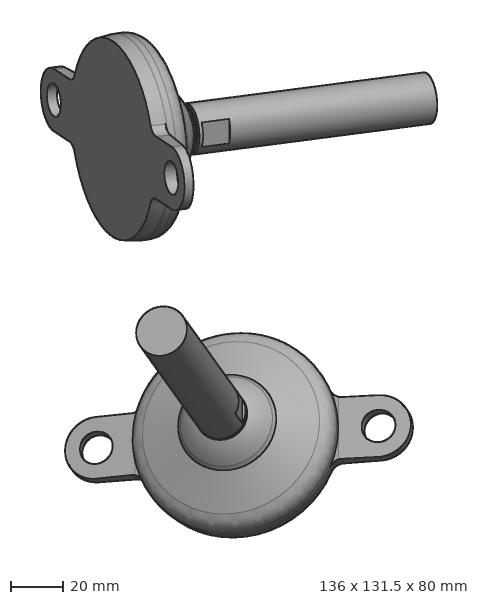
import cadquery as cq
import math

overall_length = 136.0
total_height = 131.5

pad_radius = 40.0
pad_bottom_radius = 39.2
taper_height = 6.3
rim_height = 9.1
cone_bottom_radius = 34.8
cone_bottom_height = 15.8
cone_top_radius = 19.3
cone_top_height = 21.8

dome_radius = 23.7
dome_bottom_height = 23.4
dome_bottom_radius = 18.1
dome_center_height = dome_bottom_height - math.sqrt(dome_radius**2 - dome_bottom_radius**2)
lip_bottom_height = 30.5
lip_height = 0.4
lip_top_height = lip_bottom_height + lip_height

ear_half_width = 12.5
ear_tip_x = overall_length / 2
ear_hole_x = ear_tip_x - ear_half_width
ear_hole_diameter = 13.0
ear_tip_thickness = 3.8
ear_root_thickness = 5.8
ear_root_fillet = 5.0

stem_diameter = 20.0
stem_radius = stem_diameter / 2
neck_radius = 8.2
stem_bottom_height = 32.0
flat_distance = 8.7
flat_bottom_height = 33.5
flat_top_height = 44.9


def dome_radius_at(height):
    """Radius of the dome's circular section at a height."""
    return math.sqrt(dome_radius**2 - (height - dome_center_height) ** 2)


def make_pad():
    """Turned pad and hub, with a convex shoulder and a spherical dome."""
    dome_middle_height = (dome_bottom_height + lip_bottom_height) / 2
    slope = math.hypot(cone_bottom_radius - cone_top_radius, cone_top_height - cone_bottom_height)
    cone_direction = (
        (cone_top_radius - cone_bottom_radius) / slope,
        (cone_top_height - cone_bottom_height) / slope,
    )
    return (
        cq.Workplane("XY")
        .lineTo(pad_bottom_radius, 0)
        .lineTo(pad_radius, taper_height)
        .lineTo(pad_radius, rim_height)
        .spline(
            [(cone_bottom_radius, cone_bottom_height)],
            tangents=[(0, 1), cone_direction],
            includeCurrent=True,
        )
        .lineTo(cone_top_radius, cone_top_height)
        .lineTo(dome_bottom_radius, dome_bottom_height)
        .threePointArc(
            (dome_radius_at(dome_middle_height), dome_middle_height),
            (dome_radius_at(lip_bottom_height), lip_bottom_height),
        )
        .lineTo(stem_radius, lip_bottom_height)
        .lineTo(stem_radius, lip_top_height)
        .lineTo(0, lip_top_height)
        .close()
        .revolve(360, (0, 0, 0), (0, 1, 0))
    )


def make_ears():
    """Tapered disc with two round-ended ears, filleted at the roots and thinner at the tips."""
    bar = cq.Workplane("XZ").slot2D(2 * ear_tip_x, 2 * ear_half_width).extrude(-ear_root_thickness)
    disc_top_radius = pad_bottom_radius + (pad_radius - pad_bottom_radius) * ear_root_thickness / taper_height
    disc = (
        cq.Workplane("XY")
        .lineTo(pad_bottom_radius, 0)
        .lineTo(disc_top_radius, ear_root_thickness)
        .lineTo(0, ear_root_thickness)
        .close()
        .revolve(360, (0, 0, 0), (0, 1, 0))
        .rotate((0, 0, 0), (0, 1, 0), 90)
    )
    middle_radius = (pad_bottom_radius + disc_top_radius) / 2
    corner_x = math.sqrt(middle_radius**2 - ear_half_width**2)
    plate = bar.union(disc)
    for x_side in (-1, 1):
        for z_side in (-1, 1):
            corner = (x_side * corner_x, ear_root_thickness / 2, z_side * ear_half_width)
            plate = plate.edges(cq.selectors.NearestToPointSelector(corner)).fillet(ear_root_fillet)
    side_profile = (
        cq.Workplane("XY")
        .moveTo(-ear_tip_x, 0)
        .lineTo(ear_tip_x, 0)
        .lineTo(ear_tip_x, ear_tip_thickness)
        .lineTo(pad_radius, ear_root_thickness)
        .lineTo(-pad_radius, ear_root_thickness)
        .lineTo(-ear_tip_x, ear_tip_thickness)
        .close()
        .extrude(pad_radius, both=True)
    )
    return plate.intersect(side_profile)


def make_foot():
    """Pad and ears, with a mounting hole through each ear."""
    holes = (
        cq.Workplane("XZ")
        .pushPoints([(-ear_hole_x, 0), (ear_hole_x, 0)])
        .circle(ear_hole_diameter / 2)
        .extrude(-ear_root_thickness)
    )
    return make_pad().union(make_ears()).cut(holes)


def make_stem():
    """Round stem standing on a narrower neck, with two opposite wrench flats."""
    neck = cq.Workplane("XZ", origin=(0, lip_top_height, 0)).circle(neck_radius)
    neck = neck.extrude(lip_top_height - stem_bottom_height)
    stem = cq.Workplane("XZ", origin=(0, stem_bottom_height, 0)).circle(stem_radius)
    stem = stem.extrude(stem_bottom_height - total_height).union(neck)
    flat_length = flat_top_height - flat_bottom_height
    for side in (-1, 1):
        flat_cutter = cq.Workplane("XY").box(stem_radius, flat_length, 2 * stem_radius).translate(
            (side * (flat_distance + stem_radius / 2), flat_bottom_height + flat_length / 2, 0)
        )
        stem = stem.cut(flat_cutter)
    return stem


foot = make_foot()
stem = make_stem()
result = cq.Compound.makeCompound([foot.val(), stem.val()])